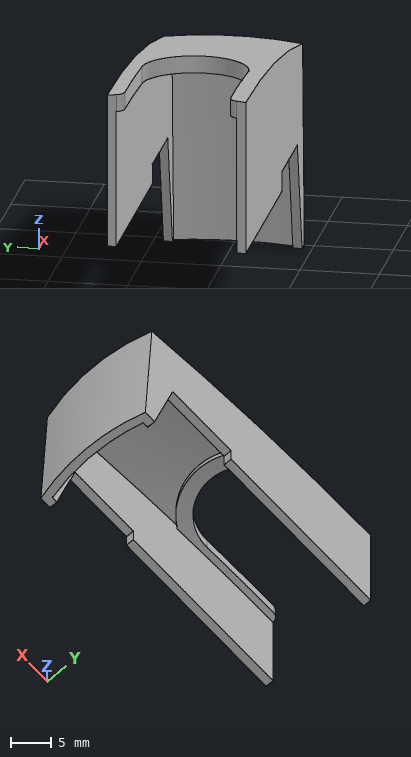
import cadquery as cq
import math

LENGTH = 43.0
WIDTH = 17.5
HEIGHT = 31.9
WALL = 1.15
HALF_WIDTH = WIDTH / 2
HALF_CAVITY = HALF_WIDTH - WALL
MARGIN = 4.3

ROOF_RADIUS = 163.85
CROWN_RISE = 0.47
ROOF_PAD = 2.2
PAD_MARGIN = 2.15

SLOT_RADIUS = 6.65
SLOT_END = 19.95
SLOT_CENTRE = SLOT_END - SLOT_RADIUS
LIP_ROUND = 0.9

FRONT_BULGE = 1.25
FRONT_LEAN = 2.6

SIDE_BOTTOM = 12.0
NOTCH_START = 25.9
NOTCH_TOP = 14.58
LEG_TOP = 36.7
LEG_FOOT = 40.05


def arc_radius(half_chord, rise):
    return (half_chord**2 + rise**2) / (2 * rise)


CROWN_RADIUS = arc_radius(HALF_WIDTH, CROWN_RISE)
FRONT_RADIUS = arc_radius(HALF_WIDTH, FRONT_BULGE)
SLOT_EDGE_DROP = CROWN_RADIUS - math.sqrt(CROWN_RADIUS**2 - SLOT_RADIUS**2)
APEX = HEIGHT + SLOT_EDGE_DROP


def under_roof(depth, half_width):
    """Solid below the crowned roof surface lowered by depth, limited to half_width each side."""
    radius = CROWN_RADIUS - depth
    top = APEX - depth
    edge_z = top - radius + math.sqrt(radius**2 - half_width**2)
    axis_z = APEX - ROOF_RADIUS
    swing = 2 * math.degrees(math.asin((LENGTH + MARGIN) / (ROOF_RADIUS - HEIGHT)))
    section = (
        cq.Workplane("YZ")
        .moveTo(-half_width, -MARGIN)
        .lineTo(-half_width, edge_z)
        .threePointArc((0, top), (half_width, edge_z))
        .lineTo(half_width, -MARGIN)
        .close()
    )
    solid = section.revolve(swing, (0, axis_z, 0), (1, axis_z, 0))
    return solid.rotate((0, 0, axis_z), (0, 1, axis_z), -swing / 2)


def behind_front(depth):
    """Leaning cylinder whose front surface is the bowed wall face set back by depth."""
    return (
        cq.Workplane("XY", origin=(LENGTH - FRONT_RADIUS, 0, -MARGIN))
        .circle(FRONT_RADIUS - depth)
        .extrude(HEIGHT + 2 * MARGIN)
        .rotate((LENGTH, 0, 0), (LENGTH, 1, 0), -FRONT_LEAN)
    )


def rounded_tongue(radius):
    """Vertical prism from behind the part to a round end concentric with the slot."""
    return (
        cq.Workplane("XY")
        .moveTo(-MARGIN, -radius)
        .lineTo(SLOT_CENTRE, -radius)
        .threePointArc((SLOT_CENTRE + radius, 0), (SLOT_CENTRE, radius))
        .lineTo(-MARGIN, radius)
        .close()
        .extrude(HEIGHT + MARGIN)
    )


def side_outline():
    return (
        cq.Workplane("XZ")
        .moveTo(0, HEIGHT + MARGIN)
        .lineTo(0, SIDE_BOTTOM)
        .lineTo(NOTCH_START, SIDE_BOTTOM)
        .lineTo(NOTCH_START, NOTCH_TOP)
        .lineTo(LEG_TOP, NOTCH_TOP)
        .lineTo(LEG_FOOT, 0)
        .lineTo(LENGTH + MARGIN, 0)
        .lineTo(LENGTH + MARGIN, HEIGHT + MARGIN)
        .close()
        .extrude(HALF_WIDTH, both=True)
    )


def lip_rounding(side):
    """Waste between a square slot corner at the back and its rounded shape."""
    edge = side * SLOT_RADIUS
    outer = side * (SLOT_RADIUS + LIP_ROUND)
    shift = LIP_ROUND * (1 - math.sqrt(0.5))
    return (
        cq.Workplane("XY")
        .moveTo(0, edge)
        .lineTo(LIP_ROUND, edge)
        .threePointArc((shift, edge + side * shift), (0, outer))
        .close()
        .extrude(HEIGHT + MARGIN)
    )


body = side_outline().intersect(under_roof(0, HALF_WIDTH)).intersect(behind_front(0))

inside_front = behind_front(WALL)
thin_cavity = under_roof(WALL, HALF_CAVITY).cut(rounded_tongue(SLOT_RADIUS + PAD_MARGIN))
pad_cavity = under_roof(ROOF_PAD, HALF_CAVITY)
for cavity in (thin_cavity, pad_cavity):
    body = body.cut(cavity.intersect(inside_front))

body = body.cut(rounded_tongue(SLOT_RADIUS))
for side in (-1, 1):
    body = body.cut(lip_rounding(side))

result = body